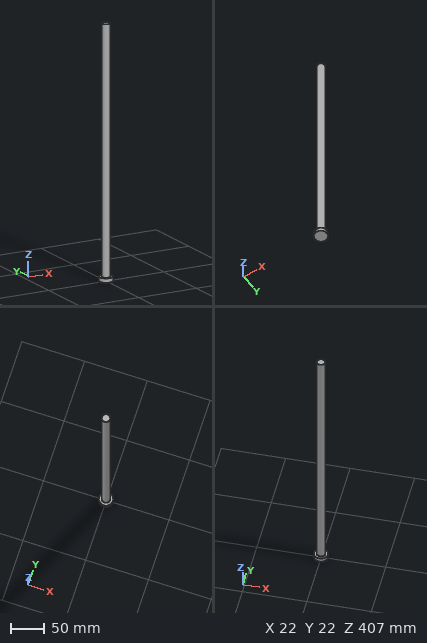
import cadquery as cq

HEAD_DIAMETER = 22.0
HEAD_THICKNESS = 7.0
SHAFT_DIAMETER = 13.0
OVERALL_LENGTH = 407.0
SHAFT_LENGTH = OVERALL_LENGTH - HEAD_THICKNESS


def make_head():
    """Round head with its underside at Z = 0."""
    return cq.Workplane("XY").circle(HEAD_DIAMETER / 2).extrude(HEAD_THICKNESS)


def add_shaft(head):
    """Shaft rising from the centre of the head's top face."""
    return head.faces(">Z").workplane().circle(SHAFT_DIAMETER / 2).extrude(SHAFT_LENGTH)


result = add_shaft(make_head())